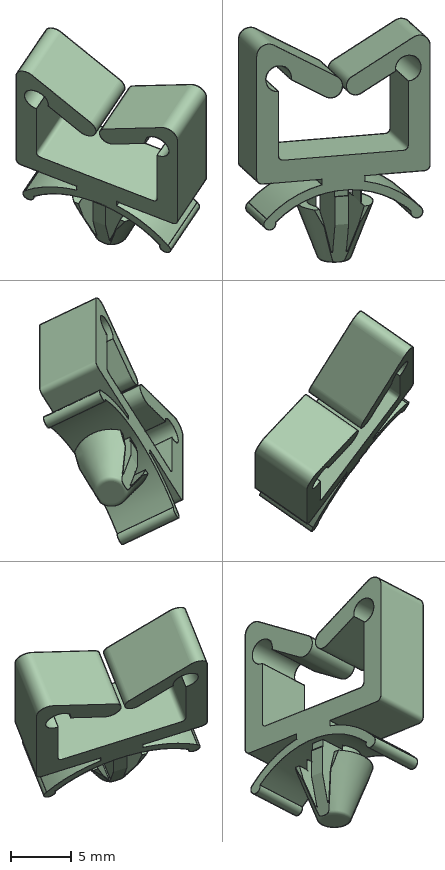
import cadquery as cq
import math

half_width = 7.5
depth = 5.3
frame_bottom = 7.71
floor_top = 9.63
wall_thickness = 1.9
outer_corner_radius = 0.5
inner_corner_radius = 0.4
hinge_radius = 1.1
hinge_height = 16.67
wall_inner = half_width - wall_thickness

arms = (
    dict(side=-1, tip_x=1.05, shoulder_top=19.73, tip_radius=0.97, shoulder_radius=0.99, slope_angle=30.0),
    dict(side=1, tip_x=1.1, shoulder_top=19.43, tip_radius=0.85, shoulder_radius=0.97, slope_angle=29.2),
)

neck_half_width = 1.85
strap_top = 7.42
strap_thickness = 0.79
strap_inner_radius = 8.58
bead_radius = 0.51
bead_x = 6.35
strap_inner_top = strap_top - strap_thickness
strap_outer_radius = strap_inner_radius + strap_thickness
strap_center_z = strap_inner_top - strap_inner_radius

web_half_width = 0.6
barb_top = 4.97
barb_top_radius = 3.22
stud_tip_radius = 1.32
stud_tip_fillet = 0.37
slot_bottom = 0.99
slot_bottom_x = 0.71
slot_top_x = 1.93
flat_half_depth = 2.17
flat_bottom = 3.51
flat_tip_half_depth = 1.25
tab_radius = 2.27
tab_top = 5.95
web_neck_half_depth = 2.07


def extrude_y(sketch, length):
    return sketch.extrude(length / 2, both=True)


def frame_half(side, tip_x, shoulder_top, tip_radius, shoulder_radius, slope_angle):
    """One wall with its arm and half of the floor."""
    angle = math.radians(slope_angle)
    normal_x, normal_z = -math.sin(angle), math.cos(angle)

    shoulder_x = half_width - shoulder_radius
    centre_rise = (shoulder_x - tip_x) * math.tan(angle)
    shoulder_z = shoulder_top - shoulder_radius
    tip_z = shoulder_z - centre_rise - (tip_radius - shoulder_radius) / math.cos(angle)
    hinge_rise = (wall_inner - tip_x) * math.tan(angle)
    arm_underside = tip_z + hinge_rise - tip_radius / math.cos(angle)

    middle_angle = (math.pi / 2 + angle) / 2

    def point(x, z):
        return side * x, z

    sketch = (
        cq.Workplane("XZ")
        .moveTo(0, frame_bottom)
        .lineTo(*point(half_width, frame_bottom))
        .lineTo(*point(half_width, shoulder_z))
        .threePointArc(
            point(
                shoulder_x + shoulder_radius * math.cos(middle_angle),
                shoulder_z + shoulder_radius * math.sin(middle_angle),
            ),
            point(shoulder_x + shoulder_radius * normal_x, shoulder_z + shoulder_radius * normal_z),
        )
        .lineTo(*point(tip_x + tip_radius * normal_x, tip_z + tip_radius * normal_z))
        .threePointArc(
            point(tip_x - tip_radius * math.cos(angle), tip_z - tip_radius * math.sin(angle)),
            point(tip_x - tip_radius * normal_x, tip_z - tip_radius * normal_z),
        )
        .lineTo(*point(wall_inner, arm_underside))
        .lineTo(*point(wall_inner, floor_top))
        .lineTo(0, floor_top)
        .close()
    )
    half = extrude_y(sketch, depth)
    outer_corner = cq.selectors.NearestToPointSelector((side * half_width, 0, frame_bottom))
    inner_corner = cq.selectors.NearestToPointSelector((side * wall_inner, 0, floor_top))
    half = half.edges("|Y").edges(outer_corner).fillet(outer_corner_radius)
    half = half.edges("|Y").edges(inner_corner).fillet(inner_corner_radius)
    hinge = cq.Workplane("XZ").center(side * wall_inner, hinge_height).circle(hinge_radius)
    return half.cut(extrude_y(hinge, depth))


def strap():
    """Arched strap with a round bead at each end."""
    middle_radius = strap_inner_radius + strap_thickness / 2
    end_angle = math.asin(bead_x / middle_radius)

    def on_arc(radius, angle):
        return radius * math.sin(angle), strap_center_z + radius * math.cos(angle)

    sketch = (
        cq.Workplane("XZ")
        .moveTo(*on_arc(strap_outer_radius, -end_angle))
        .threePointArc(on_arc(strap_outer_radius, 0), on_arc(strap_outer_radius, end_angle))
        .lineTo(*on_arc(strap_inner_radius, end_angle))
        .threePointArc(on_arc(strap_inner_radius, 0), on_arc(strap_inner_radius, -end_angle))
        .close()
    )
    body = extrude_y(sketch, depth)
    bead_angle = math.asin(bead_x / (strap_outer_radius - bead_radius))
    bead_centers = [on_arc(strap_outer_radius - bead_radius, s * bead_angle) for s in (-1, 1)]
    beads = cq.Workplane("XZ").pushPoints(bead_centers).circle(bead_radius)
    return body.union(extrude_y(beads, depth))


def neck():
    bottom = strap_top - strap_thickness / 2
    return (
        cq.Workplane("XY", origin=(0, 0, bottom))
        .rect(2 * neck_half_width, depth)
        .extrude(frame_bottom - bottom)
    )


def stud():
    cone = (
        cq.Workplane("XZ")
        .polyline([(0, 0), (stud_tip_radius, 0), (barb_top_radius, barb_top), (0, barb_top)])
        .close()
        .revolve(360, (0, 0), (0, 1))
        .faces("<Z")
        .edges()
        .fillet(stud_tip_fillet)
    )
    tabs = cq.Workplane("XY", origin=(0, 0, barb_top)).circle(tab_radius).extrude(tab_top - barb_top)
    body = cone.union(tabs)

    for side in (-1, 1):
        slot = (
            cq.Workplane("XZ")
            .polyline([
                (side * web_half_width, slot_bottom),
                (side * slot_bottom_x, slot_bottom),
                (side * slot_top_x, barb_top),
                (side * slot_top_x, tab_top),
                (side * web_half_width, tab_top),
            ])
            .close()
        )
        body = body.cut(extrude_y(slot, 4 * barb_top_radius))

    web_top = strap_top - strap_thickness / 2
    web = (
        cq.Workplane("XY", origin=(0, 0, flat_bottom))
        .rect(2 * web_half_width, 2 * flat_half_depth)
        .extrude(tab_top - flat_bottom)
        .faces(">Z")
        .workplane()
        .rect(2 * web_half_width, 2 * web_neck_half_depth)
        .extrude(web_top - tab_top)
    )
    envelope = (
        cq.Workplane("YZ")
        .polyline([
            (-flat_tip_half_depth, 0),
            (flat_tip_half_depth, 0),
            (flat_half_depth, flat_bottom),
            (flat_half_depth, web_top),
            (-flat_half_depth, web_top),
            (-flat_half_depth, flat_bottom),
        ])
        .close()
        .extrude(2 * barb_top_radius, both=True)
    )
    return body.union(web).intersect(envelope)


result = strap().union(neck()).union(stud())
for arm in arms:
    result = result.union(frame_half(**arm))
result = result.clean()